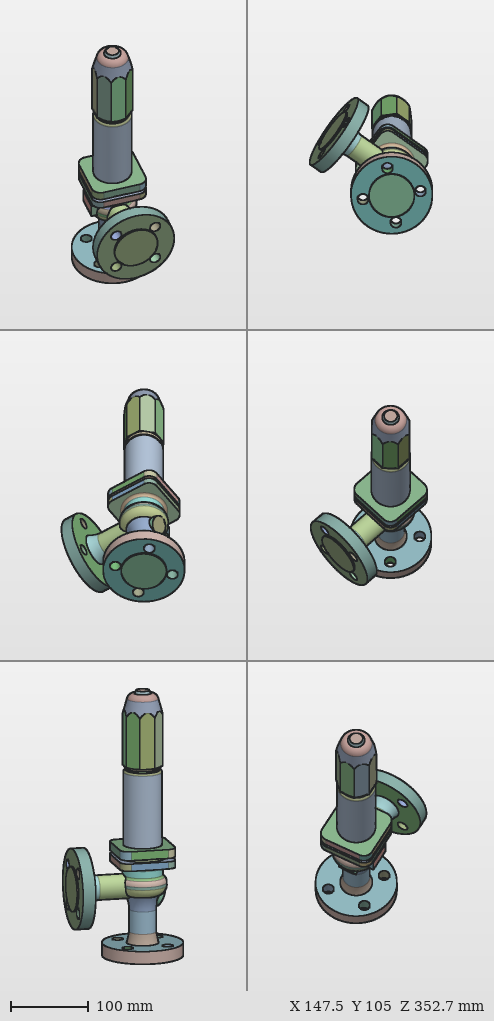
import cadquery as cq
import math

total_height = 352.7
outlet_reach = 95.0
outlet_z = 95.0

flange_radius = 52.5
flange_thickness = 17.0
raised_face_radius = 29.3
raised_face_height = 2.0
bolt_count = 4
bolt_circle_radius = 37.5
bolt_hole_diameter = 14.0
first_bolt_angle = 45
flange_back = raised_face_height + flange_thickness

neck_radius = 20.8
neck_length = 14.8
flare_middle_share = 0.35
inlet_pipe_radius = 17.5
outlet_pipe_radius = 16.2

inlet_blend_z = 63.5
waist_radius = 23.0
bulge_radius = 31.5
bulge_low_z = 95.2
bulge_high_z = 99.0
bulge_lower_arc = 13.0
shoulder_angle = math.radians(50)
shoulder_arc = 9.0
collar_radius = 26.5
collar_fillet = 4.0

square_side = 73.5
square_corner_radius = 12.0
lower_square_z = 122.7
lower_square_thickness = 9.5
gasket_z = lower_square_z + lower_square_thickness
gasket_thickness = 4.5
gasket_rim_radius = 31.5
gasket_groove_radius = 29.0
upper_square_z = gasket_z + gasket_thickness
upper_square_thickness = 11.5

bonnet_radius = 25.0
bonnet_top_z = 247.2
bonnet_fillet = 2.5
bonnet_base_z = upper_square_z + upper_square_thickness

groove_radius = 21.5
cap_base_z = 249.7
cap_side_z = 253.2
cap_base_radius = 22.5
cap_across_flats = 48.5
cap_sides = 8
cap_cone_top_z = 341.8
cap_cone_top_radius = 20.5
cap_cone_angle = math.radians(15.5)
cap_crown_z = 348.8
knob_base_radius = 11.0
knob_top_radius = 8.5

drain_radius = 12.5
drain_x = -23.5
drain_z = 77.2
drain_angle = math.radians(27)
drain_length = 23.0

plate_width = 33.0
plate_height = 17.0
plate_bottom_z = 94.0
plate_face_y = -34.2


def pipe_end(pipe_radius, length):
    """Raised face, flange, flared weld neck and pipe, standing on the XY plane along +Z."""
    neck_end = flange_back + neck_length
    flare_middle_radius = pipe_radius + flare_middle_share * (neck_radius - pipe_radius)
    flare_middle = (flare_middle_radius, flange_back + neck_length / 2)
    bolt_holes = (
        cq.Workplane("XY")
        .polarArray(bolt_circle_radius, first_bolt_angle, 360, bolt_count)
        .circle(bolt_hole_diameter / 2)
        .extrude(flange_back)
    )
    return (
        cq.Workplane("XZ")
        .lineTo(raised_face_radius, 0)
        .lineTo(raised_face_radius, raised_face_height)
        .lineTo(flange_radius, raised_face_height)
        .lineTo(flange_radius, flange_back)
        .lineTo(neck_radius, flange_back)
        .threePointArc(flare_middle, (pipe_radius, neck_end))
        .lineTo(pipe_radius, length)
        .lineTo(0, length)
        .close()
        .revolve(360, (0, 0), (0, 1))
        .cut(bolt_holes)
    )


def valve_body():
    """Turned body: blend from the inlet pipe, rounded bulge and collar."""
    bulge_center_radius = bulge_radius - bulge_lower_arc
    waist_z = bulge_low_z - math.sqrt(bulge_lower_arc**2 - (waist_radius - bulge_center_radius) ** 2)
    shoulder_radius = bulge_radius - shoulder_arc * (1 - math.cos(shoulder_angle))
    shoulder_z = bulge_high_z + shoulder_arc * math.sin(shoulder_angle)
    hollow_arc = (shoulder_radius - collar_radius) / (1 - math.cos(shoulder_angle))
    hollow_top_z = shoulder_z + hollow_arc * math.sin(shoulder_angle)
    return (
        cq.Workplane("XZ")
        .moveTo(0, flange_back)
        .lineTo(inlet_pipe_radius, flange_back)
        .lineTo(inlet_pipe_radius, inlet_blend_z)
        .tangentArcPoint((waist_radius, waist_z), relative=False)
        .radiusArc((bulge_radius, bulge_low_z), -bulge_lower_arc)
        .lineTo(bulge_radius, bulge_high_z)
        .tangentArcPoint((shoulder_radius, shoulder_z), relative=False)
        .tangentArcPoint((collar_radius, hollow_top_z), relative=False)
        .lineTo(collar_radius, lower_square_z - collar_fillet)
        .tangentArcPoint((collar_radius + collar_fillet, lower_square_z), relative=False)
        .lineTo(0, lower_square_z)
        .close()
        .revolve(360, (0, 0), (0, 1))
    )


def square_flange(bottom_z, thickness):
    """Square plate with rounded vertical corners."""
    return (
        cq.Workplane("XY", origin=(0, 0, bottom_z))
        .rect(square_side, square_side)
        .extrude(thickness)
        .edges("|Z")
        .fillet(square_corner_radius)
    )


def gasket():
    """Ring between the square flanges, waisted by a V-groove."""
    return (
        cq.Workplane("XZ")
        .moveTo(0, gasket_z)
        .lineTo(gasket_rim_radius, gasket_z)
        .lineTo(gasket_groove_radius, gasket_z + gasket_thickness / 2)
        .lineTo(gasket_rim_radius, upper_square_z)
        .lineTo(0, upper_square_z)
        .close()
        .revolve(360, (0, 0), (0, 1))
    )


def bonnet():
    """Plain tube with a rounded top edge, plus the narrow groove under the cap."""
    tube = (
        cq.Workplane("XY", origin=(0, 0, bonnet_base_z))
        .circle(bonnet_radius)
        .extrude(bonnet_top_z - bonnet_base_z)
        .faces(">Z")
        .edges()
        .fillet(bonnet_fillet)
    )
    groove = (
        cq.Workplane("XY", origin=(0, 0, bonnet_base_z))
        .circle(groove_radius)
        .extrude(cap_base_z - bonnet_base_z)
    )
    return tube.union(groove)


def cap():
    """Octagonal prism trimmed by a turned envelope: bottom chamfer, top cone, crown and knob."""
    corner_radius = cap_across_flats / 2 / math.cos(math.pi / cap_sides)
    cone_base_z = cap_cone_top_z - (corner_radius - cap_cone_top_radius) / math.tan(cap_cone_angle)
    octagon = (
        cq.Workplane("XY", origin=(0, 0, cap_base_z))
        .polygon(cap_sides, 2 * corner_radius)
        .extrude(total_height - cap_base_z)
        .rotate((0, 0, 0), (0, 0, 1), 180 / cap_sides)
    )
    envelope = (
        cq.Workplane("XZ")
        .moveTo(0, cap_base_z)
        .lineTo(cap_base_radius, cap_base_z)
        .lineTo(cap_across_flats / 2, cap_side_z)
        .lineTo(corner_radius, cap_side_z)
        .lineTo(corner_radius, cone_base_z)
        .lineTo(cap_cone_top_radius, cap_cone_top_z)
        .tangentArcPoint((knob_base_radius, cap_crown_z), relative=False)
        .lineTo(knob_top_radius, total_height)
        .lineTo(0, total_height)
        .close()
        .revolve(360, (0, 0), (0, 1))
    )
    return octagon.intersect(envelope)


def outlet():
    """Flanged side branch, turned so that its raised face looks along +X."""
    branch = pipe_end(outlet_pipe_radius, outlet_reach)
    return branch.rotate((0, 0, 0), (0, 1, 0), -90).translate((outlet_reach, 0, outlet_z))


def drain_boss():
    """Round boss running from its slanted end face back into the body."""
    inward = (math.cos(drain_angle), 0, math.sin(drain_angle))
    end_face = cq.Plane(origin=(drain_x, 0, drain_z), xDir=(0, 1, 0), normal=inward)
    return cq.Workplane(end_face).circle(drain_radius).extrude(drain_length)


def name_plate():
    """Rectangular pad standing off the bulge, rooted at the valve axis."""
    return (
        cq.Workplane("XY", origin=(0, plate_face_y, plate_bottom_z))
        .box(plate_width, -plate_face_y, plate_height, centered=(True, False, False))
    )


result = (
    pipe_end(inlet_pipe_radius, inlet_blend_z)
    .union(valve_body())
    .union(outlet())
    .union(drain_boss())
    .union(name_plate())
    .union(square_flange(lower_square_z, lower_square_thickness))
    .union(gasket())
    .union(square_flange(upper_square_z, upper_square_thickness))
    .union(bonnet())
    .union(cap())
)